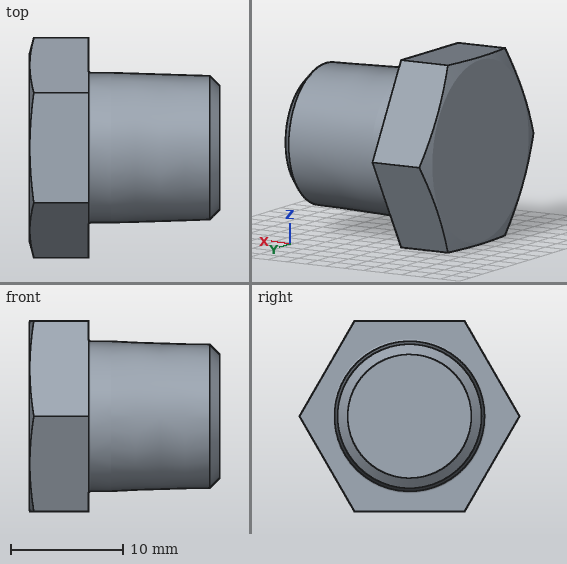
import cadquery as cq
import math

across_corners = 19.63
across_flats = across_corners * math.cos(math.radians(30))
head_length = 5.3
face_diameter = 16.53
head_chamfer_angle = 15.0

total_length = across_flats
shank_diameter = 13.39
straight_length = 2.0
taper_ratio = 1 / 16
tip_chamfer = 0.9
neck_fillet = 0.2


def make_head():
    """Hexagon with corners on +Y and -Y, its outer face chamfered by a cone."""
    hexagon = cq.Workplane("YZ").polygon(6, across_corners).extrude(head_length)
    face_radius = face_diameter / 2
    corner_radius = across_corners / 2
    chamfer_depth = (corner_radius - face_radius) * math.tan(math.radians(head_chamfer_angle))
    chamfer_envelope = (
        cq.Workplane("XY")
        .polyline([
            (0, 0),
            (0, face_radius),
            (chamfer_depth, corner_radius),
            (head_length, corner_radius),
            (head_length, 0),
        ])
        .close()
        .revolve(360, (0, 0, 0), (1, 0, 0))
    )
    return hexagon.intersect(chamfer_envelope)


def make_shank():
    """Straight collar with a neck fillet, then a taper and a 45 degree tip chamfer."""
    shank_radius = shank_diameter / 2
    taper_start = head_length + straight_length
    taper_end = total_length - tip_chamfer
    end_radius = shank_radius - (taper_end - taper_start) * taper_ratio / 2
    fillet_sag = neck_fillet * (1 - math.sqrt(0.5))
    return (
        cq.Workplane("XY")
        .moveTo(head_length, 0)
        .lineTo(head_length, shank_radius + neck_fillet)
        .threePointArc(
            (head_length + fillet_sag, shank_radius + fillet_sag),
            (head_length + neck_fillet, shank_radius),
        )
        .lineTo(taper_start, shank_radius)
        .lineTo(taper_end, end_radius)
        .lineTo(total_length, end_radius - tip_chamfer)
        .lineTo(total_length, 0)
        .close()
        .revolve(360, (0, 0, 0), (1, 0, 0))
    )


result = make_head().union(make_shank())